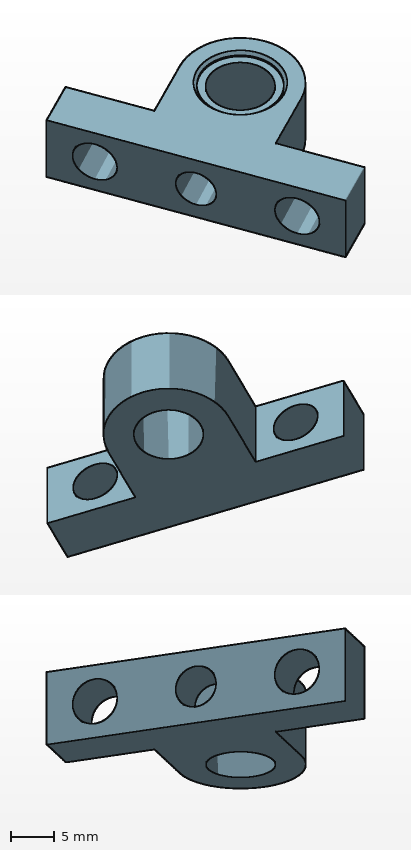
import cadquery as cq
import math

bar_length = 37.0
bar_depth = 6.0
height = 9.0
end_round = 0.1

overall_depth = 21.5
eye_radius = 7.5
eye_center_y = overall_depth - eye_radius

bore_diameter = 8.0
seat_diameter = 10.0
seat_depth = 0.6
seat_chamfer = 0.4

mount_hole_diameter = 5.5
mount_hole_spacing = 25.0
blind_hole_diameter = 5.0
blind_hole_depth = 6.0
drill_point_angle = 140.0


def make_bar():
    """Bar with its four end edges (along Y) lightly rounded."""
    bar = cq.Workplane("XY").box(bar_length, bar_depth, height, centered=(True, False, True))
    return bar.edges("|Y").fillet(end_round)


def make_eye():
    """Lug running through the bar depth and ending in a half circle."""
    return (
        cq.Workplane("XY", origin=(0, 0, -height / 2))
        .moveTo(-eye_radius, 0)
        .lineTo(-eye_radius, eye_center_y)
        .threePointArc((0, overall_depth), (eye_radius, eye_center_y))
        .lineTo(eye_radius, 0)
        .close()
        .extrude(height)
    )


def make_eye_bore():
    """Revolved cutter: through bore, bearing seat and lead-in chamfer at the top."""
    top = height / 2
    bore_radius = bore_diameter / 2
    seat_radius = seat_diameter / 2
    return (
        cq.Workplane("XZ", origin=(0, eye_center_y, 0))
        .moveTo(0, -top)
        .lineTo(bore_radius, -top)
        .lineTo(bore_radius, top - seat_depth)
        .lineTo(seat_radius, top - seat_depth)
        .lineTo(seat_radius, top - seat_chamfer)
        .lineTo(seat_radius + seat_chamfer, top)
        .lineTo(0, top)
        .close()
        .revolve(360, (0, 0, 0), (0, 1, 0))
    )


def make_mount_holes():
    """Pair of clearance holes through the bar along Y."""
    return (
        cq.Workplane("XZ")
        .pushPoints([(-mount_hole_spacing / 2, 0), (mount_hole_spacing / 2, 0)])
        .circle(mount_hole_diameter / 2)
        .extrude(-bar_depth)
    )


def make_blind_hole():
    """Drilled hole along Y, with a conical bottom, short of the eye bore."""
    radius = blind_hole_diameter / 2
    point_length = radius / math.tan(math.radians(drill_point_angle / 2))
    return (
        cq.Workplane("XY")
        .lineTo(radius, 0)
        .lineTo(radius, blind_hole_depth)
        .lineTo(0, blind_hole_depth + point_length)
        .close()
        .revolve(360, (0, 0, 0), (0, 1, 0))
    )


result = (
    make_bar()
    .union(make_eye())
    .cut(make_eye_bore())
    .cut(make_mount_holes())
    .cut(make_blind_hole())
)